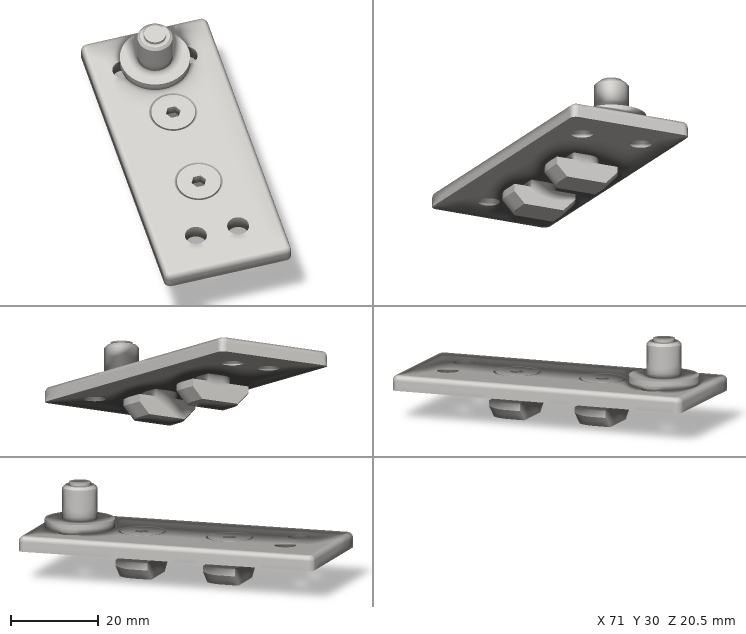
import cadquery as cq
import math

PLATE_LENGTH = 71.0
PLATE_WIDTH = 30.0
PLATE_THICKNESS = 3.5
PLATE_CORNER_RADIUS = 1.5
PLATE_TOP_FILLET = 1.2

HOLE_DIAMETER = 5.0
END_X = 25.5
PIN_END_HOLE_Y = 7.5
FREE_END_HOLE_Y = 5.0

FLANGE_DIAMETER = 16.0
FLANGE_HEIGHT = 2.0
PIN_DIAMETER = 8.0
PIN_SHOULDER_HEIGHT = 9.8
PIN_CHAMFER = 0.6
TIP_DIAMETER = 5.0
TIP_HEIGHT = 10.5

SCREW_X = 10.5
SCREW_DIAMETER = 5.0
COUNTERSINK_DIAMETER = 11.0
HEAD_DIAMETER = 10.0
HEAD_RIM_HEIGHT = (COUNTERSINK_DIAMETER - HEAD_DIAMETER) / 2
HEAD_HEIGHT = (COUNTERSINK_DIAMETER - SCREW_DIAMETER) / 2
SOCKET_ACROSS_FLATS = 3.0
SOCKET_DEPTH = 2.3

NUT_WIDTH = 8.0
NUT_LENGTH = 16.6
NUT_TOP_DEPTH = 0.4
NUT_STEP_DEPTH = 2.1
NUT_CHAMFER_DEPTH = 3.85
NUT_BOTTOM_DEPTH = 6.5

NUT_HALF_WIDTH = NUT_WIDTH / 2
NUT_HALF_LENGTH = NUT_LENGTH / 2


def make_pin():
    """Stepped pin with a flange, standing on the plate."""
    flange = cq.Workplane("XY").circle(FLANGE_DIAMETER / 2).extrude(FLANGE_HEIGHT)
    shank = cq.Workplane("XY").circle(PIN_DIAMETER / 2).extrude(PIN_SHOULDER_HEIGHT)
    shank = shank.faces(">Z").chamfer(PIN_CHAMFER)
    tip = cq.Workplane("XY").circle(TIP_DIAMETER / 2).extrude(TIP_HEIGHT)
    pin = flange.union(shank).union(tip)
    return pin.translate((-END_X, 0, PLATE_THICKNESS))


def make_pin_plate():
    """Plate with rounded edges, its holes and the fixed pin."""
    plate = cq.Workplane("XY").box(
        PLATE_LENGTH, PLATE_WIDTH, PLATE_THICKNESS, centered=(True, True, False)
    )
    plate = plate.edges("|Z").fillet(PLATE_CORNER_RADIUS)
    plate = plate.faces(">Z").edges().fillet(PLATE_TOP_FILLET)

    hole_points = []
    for side in (-1, 1):
        hole_points.append((-END_X, side * PIN_END_HOLE_Y))
        hole_points.append((END_X, side * FREE_END_HOLE_Y))
    holes = cq.Workplane("XY").pushPoints(hole_points).circle(HOLE_DIAMETER / 2)
    plate = plate.cut(holes.extrude(PLATE_THICKNESS))

    top = plate.faces(">Z").workplane(origin=(0, 0, PLATE_THICKNESS))
    plate = top.pushPoints([(-SCREW_X, 0), (SCREW_X, 0)]).cskHole(
        SCREW_DIAMETER, COUNTERSINK_DIAMETER, 90
    )
    return plate.union(make_pin())


def make_screw():
    """Countersunk screw reaching from its flush head to the bottom of the nut."""
    head_radius = HEAD_DIAMETER / 2
    shank_radius = SCREW_DIAMETER / 2
    screw = (
        cq.Workplane("XZ")
        .moveTo(0, PLATE_THICKNESS)
        .lineTo(head_radius, PLATE_THICKNESS)
        .lineTo(head_radius, PLATE_THICKNESS - HEAD_RIM_HEIGHT)
        .lineTo(shank_radius, PLATE_THICKNESS - HEAD_HEIGHT)
        .lineTo(shank_radius, -NUT_BOTTOM_DEPTH)
        .lineTo(0, -NUT_BOTTOM_DEPTH)
        .close()
        .revolve(360, (0, 0, 0), (0, 1, 0))
    )
    socket = (
        cq.Workplane("XY", origin=(0, 0, PLATE_THICKNESS))
        .transformed(rotate=(0, 0, 90))
        .polygon(6, SOCKET_ACROSS_FLATS / math.cos(math.pi / 6))
        .extrude(-SOCKET_DEPTH)
    )
    return screw.cut(socket)


def rounded_end_blank(plane, reach):
    """Bar running both ways along the plane's normal, with an arc over half of its -Y end.

    The arc has its centre on the bar axis and leaves the end face tangentially at x = 0.
    """
    radius = NUT_HALF_LENGTH
    side_y = -math.sqrt(radius**2 - NUT_HALF_WIDTH**2)
    mid_x = -NUT_HALF_WIDTH / 2
    mid_y = -math.sqrt(radius**2 - mid_x**2)
    return (
        cq.Workplane(plane)
        .moveTo(NUT_HALF_WIDTH, reach)
        .lineTo(NUT_HALF_WIDTH, -radius)
        .lineTo(0, -radius)
        .threePointArc((mid_x, mid_y), (-NUT_HALF_WIDTH, side_y))
        .lineTo(-NUT_HALF_WIDTH, reach)
        .close()
        .extrude(NUT_LENGTH, both=True)
    )


def make_nut():
    """T-slot nut with two diagonally opposite corners rounded so it can twist into the slot."""
    arc_mid = NUT_HALF_WIDTH * math.cos(math.pi / 4)
    tab = (
        cq.Workplane("XY", origin=(0, 0, -NUT_STEP_DEPTH))
        .moveTo(NUT_HALF_WIDTH, -NUT_HALF_WIDTH)
        .lineTo(0, -NUT_HALF_WIDTH)
        .threePointArc((-arc_mid, -arc_mid), (-NUT_HALF_WIDTH, 0))
        .lineTo(-NUT_HALF_WIDTH, NUT_HALF_WIDTH)
        .lineTo(0, NUT_HALF_WIDTH)
        .threePointArc((arc_mid, arc_mid), (NUT_HALF_WIDTH, 0))
        .close()
        .extrude(NUT_STEP_DEPTH - NUT_TOP_DEPTH)
    )

    base = cq.Workplane("XY").box(
        NUT_WIDTH, NUT_LENGTH, NUT_BOTTOM_DEPTH - NUT_STEP_DEPTH, centered=(True, True, False)
    )
    base = base.translate((0, 0, -NUT_BOTTOM_DEPTH))

    upright_blank = rounded_end_blank(cq.Plane.XY(), NUT_LENGTH)
    slope_axis = cq.Vector(0, -1, 1).normalized()
    slope_out = cq.Vector(0, 1, 1).normalized()
    chamfer_edge = cq.Vector(0, -NUT_HALF_LENGTH, -NUT_CHAMFER_DEPTH)
    slope_plane = cq.Plane(
        origin=chamfer_edge + slope_out * NUT_HALF_LENGTH, xDir=(1, 0, 0), normal=slope_axis
    )
    slope_blank = rounded_end_blank(slope_plane, NUT_LENGTH)
    end_blank = upright_blank.intersect(slope_blank)
    for turn in (0, 180):
        base = base.intersect(end_blank.rotate((0, 0, 0), (0, 0, 1), turn))
    return tab.union(base)


def make_fastener(x):
    """Screw and nut joined as one body, hung in the plate at x."""
    nut = make_nut()
    bore = cq.Workplane("XY").circle(SCREW_DIAMETER / 2).extrude(-NUT_BOTTOM_DEPTH)
    return make_screw().union(nut.cut(bore)).translate((x, 0, 0))


pin_plate = make_pin_plate()
fasteners = [make_fastener(x) for x in (-SCREW_X, SCREW_X)]

result = cq.Compound.makeCompound([pin_plate.val(), *[fastener.val() for fastener in fasteners]])